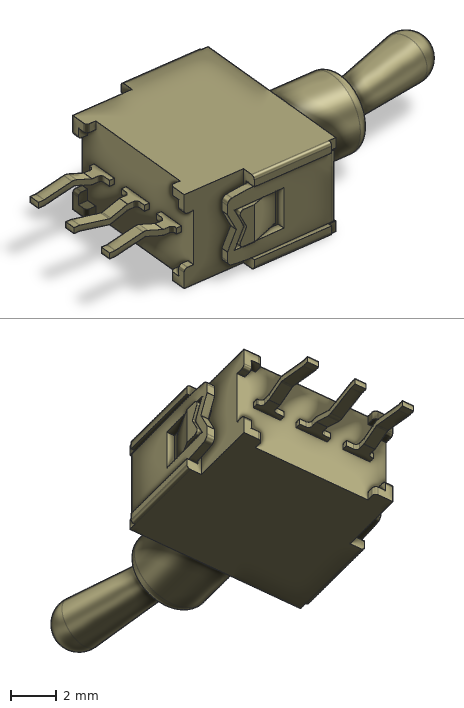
import cadquery as cq
import math


HOUSING_HEIGHT = 5.0
CORE_WIDTH = 7.95
SHOULDER_WIDTH = 9.12
RAIL_WIDTH = 9.5
SHOULDER_LENGTH = 4.72
HOUSING_LENGTH = 7.5
RAIL_START = 0.38
CHANNEL_HEIGHT = 3.87
RAIL_FILLET = (RAIL_WIDTH - SHOULDER_WIDTH) / 2

FOOT_LENGTH = 0.53
FOOT_SPAN_X = 0.97
FOOT_SPAN_Z = 1.05
FOOT_THICKNESS_X = 0.4
FOOT_THICKNESS_Z = 0.47
FOOT_FILLET = 0.2

FRAME_HEIGHT = 3.76
FRAME_WIDTH = SHOULDER_WIDTH
FRAME_END_WIDTH = 9.28
FRAME_THICKNESS = 0.4
FRAME_BEND_RADIUS = 0.21
LEG_LENGTH = 6.13
LEG_TAPER_START = 4.23
LEG_END_HEIGHT = 3.47
LEG_CORNER_FILLET = 0.3
NOTCH_HEIGHT = 1.99
NOTCH_SLOPE = 0.5
WINDOW_START = 2.95
WINDOW_HEIGHT = 2.14
WINDOW_APEX = 5.2
BUSHING_DIAMETER = 4.0
BUSHING_LENGTH = 3.98
BUSHING_TOP_FILLET = 0.6
FLARE_LENGTH = 0.5
FLARE_RADIUS = 0.57

CHANNEL_FLOOR_WIDTH = FRAME_WIDTH - 2 * FRAME_THICKNESS

LATCH_START = 3.07
LATCH_HEIGHT = 1.99
LATCH_CLEARANCE = 0.06
LATCH_TIP_FILLET = 0.21
LATCH_NOTCH_FILLET = 0.17

BALL_DIAMETER = 2.8
BALL_CENTRE_Y = 3.09
LEVER_TILT = 14.0
LEVER_BASE_RADIUS = 0.9
LEVER_TIP_RADIUS = 1.25
LEVER_REACH = 5.67

TERMINAL_PITCH = 2.54
TERMINAL_WIDTH = 0.6
TERMINAL_THICKNESS = 0.32
TERMINAL_END = 11.32
BEND_START = 8.31
BEND_APEX = 9.3
BEND_END = 11.0
BEND_RISE = 0.35
BEND_INNER_RADIUS = 0.15
BEND_OUTER_RADIUS = BEND_INNER_RADIUS + TERMINAL_THICKNESS
HEAD_LENGTH = 0.27
HEAD_FILLET = 0.2
HEAD_REACH = 0.87
HEAD_SHORT_REACH = 0.57
MIDDLE_HEAD_REACH = 0.82


def block(width, height, start, end):
    """Box centred on X and Z that runs from y = -start to y = -end."""
    return cq.Workplane("XY").box(width, end - start, height).translate((0, -(start + end) / 2, 0))


def v_notched_prism(start, apex, height):
    """Prism along X from y = -start whose -Y end is a V notch with its apex at y = -apex."""
    half = height / 2
    corner_y = -apex - NOTCH_SLOPE * half
    outline = [(-start, -half), (corner_y, -half), (-apex, 0), (corner_y, half), (-start, half)]
    return cq.Workplane("YZ").polyline(outline).close().extrude(RAIL_WIDTH, both=True)


def corner_foot():
    """L-shaped foot at the -X, -Z corner of the end face."""
    left = -CORE_WIDTH / 2
    bottom = -HOUSING_HEIGHT / 2
    end = -HOUSING_LENGTH - FOOT_LENGTH
    along_x = cq.Workplane("XY").box(FOOT_SPAN_X, FOOT_LENGTH, FOOT_THICKNESS_Z, centered=False)
    along_x = along_x.edges(">X and <Y").fillet(FOOT_FILLET)
    along_z = cq.Workplane("XY").box(FOOT_THICKNESS_X, FOOT_LENGTH, FOOT_SPAN_Z, centered=False)
    along_z = along_z.edges(">Z and <Y").fillet(FOOT_FILLET)
    return along_x.union(along_z).translate((left, end, bottom))


def latch():
    """Wedge on the -X side: it rises toward -Y and ends in a V notch."""
    base_x = -CORE_WIDTH / 2
    floor_x = -CHANNEL_FLOOR_WIDTH / 2
    crest_x = -RAIL_WIDTH / 2
    apex_y = -WINDOW_APEX + LATCH_CLEARANCE
    half = LATCH_HEIGHT / 2
    corner_y = apex_y - NOTCH_SLOPE * half
    ramp = (
        cq.Workplane("XY")
        .moveTo(base_x, -LATCH_START)
        .lineTo(floor_x, -LATCH_START)
        .lineTo(crest_x, -SHOULDER_LENGTH)
        .lineTo(crest_x, corner_y)
        .lineTo(base_x, corner_y)
        .close()
        .extrude(half, both=True)
    )
    notched = v_notched_prism(LATCH_START, -apex_y, LATCH_HEIGHT)
    notched = notched.edges("|X and <Y").fillet(LATCH_TIP_FILLET)
    notch_line = cq.selectors.NearestToPointSelector((0, apex_y, 0))
    notched = notched.edges(notch_line).fillet(LATCH_NOTCH_FILLET)
    return ramp.intersect(notched)


def make_housing():
    core = block(CORE_WIDTH, HOUSING_HEIGHT, 0, HOUSING_LENGTH)
    shoulders = block(SHOULDER_WIDTH, HOUSING_HEIGHT, 0, SHOULDER_LENGTH)
    rails = block(RAIL_WIDTH, HOUSING_HEIGHT, RAIL_START, SHOULDER_LENGTH)
    rails = rails.edges("|Y").fillet(RAIL_FILLET)
    body = core.union(shoulders).union(rails)

    channel = block(RAIL_WIDTH, CHANNEL_HEIGHT, 0, SHOULDER_LENGTH)
    channel = channel.cut(block(CHANNEL_FLOOR_WIDTH, CHANNEL_HEIGHT, FRAME_THICKNESS, SHOULDER_LENGTH))
    body = body.cut(channel)

    left_latch = latch()
    body = body.union(left_latch).union(left_latch.mirror("YZ"))

    lower_left = corner_foot()
    for lower in (lower_left, lower_left.mirror("YZ")):
        body = body.union(lower).union(lower.mirror("XY"))
    return body


def leg_outline():
    """Prism with the side outline of both legs: tapered, rounded, with a V notch in the end."""
    half = FRAME_HEIGHT / 2
    half_end = LEG_END_HEIGHT / 2
    half_notch = NOTCH_HEIGHT / 2
    notch_apex = -LEG_LENGTH + NOTCH_SLOPE * half_notch
    corner_line = cq.selectors.NearestToPointSelector((0, -LEG_LENGTH, half_end))
    upper = (
        cq.Workplane("YZ")
        .moveTo(0, 0)
        .lineTo(0, half)
        .lineTo(-LEG_TAPER_START, half)
        .tangentArcPoint((-LEG_LENGTH, half_end), relative=False)
        .lineTo(-LEG_LENGTH, half_notch)
        .lineTo(notch_apex, 0)
        .close()
        .extrude(FRAME_WIDTH, both=True)
        .edges(corner_line)
        .fillet(LEG_CORNER_FILLET)
    )
    return upper.union(upper.mirror("XY"))


def frame_strip():
    """Plate with two legs that splay slightly outward."""
    outer = FRAME_WIDTH / 2
    outer_end = FRAME_END_WIDTH / 2
    inner = outer - FRAME_THICKNESS
    inner_end = outer_end - FRAME_THICKNESS
    outline = [
        (-outer, 0),
        (outer, 0),
        (outer_end, -LEG_LENGTH),
        (inner_end, -LEG_LENGTH),
        (inner, -FRAME_THICKNESS),
        (-inner, -FRAME_THICKNESS),
        (-inner_end, -LEG_LENGTH),
        (-outer_end, -LEG_LENGTH),
    ]
    strip = cq.Workplane("XY").polyline(outline).close().extrude(FRAME_HEIGHT / 2, both=True)
    return strip.edges("|Z and >Y").fillet(FRAME_BEND_RADIUS)


def bushing():
    """Bushing with a rounded rim and a flared foot."""
    radius = BUSHING_DIAMETER / 2
    flare = FLARE_RADIUS - math.sqrt(FLARE_RADIUS**2 - FLARE_LENGTH**2)
    half_angle = math.asin(FLARE_LENGTH / FLARE_RADIUS) / 2
    flare_mid = (
        radius + FLARE_RADIUS * (1 - math.cos(half_angle)),
        FLARE_LENGTH - FLARE_RADIUS * math.sin(half_angle),
    )
    return (
        cq.Workplane("XY")
        .lineTo(radius + flare, 0)
        .threePointArc(flare_mid, (radius, FLARE_LENGTH))
        .lineTo(radius, BUSHING_LENGTH)
        .lineTo(0, BUSHING_LENGTH)
        .close()
        .revolve(360, (0, 0), (0, 1))
        .edges(">Y")
        .fillet(BUSHING_TOP_FILLET)
    )


def make_frame(lever):
    strip = frame_strip().intersect(leg_outline())
    strip = strip.cut(v_notched_prism(WINDOW_START, WINDOW_APEX, WINDOW_HEIGHT))
    return strip.union(bushing()).cut(lever)


def make_lever():
    """Ball in the bushing, with a tilted cone that runs tangent into a round tip."""
    ball_radius = BALL_DIAMETER / 2
    base = math.sqrt(ball_radius**2 - LEVER_BASE_RADIUS**2)
    base_to_tip = LEVER_REACH - base
    base_to_centre = math.hypot(LEVER_BASE_RADIUS, base_to_tip)
    taper = math.asin(LEVER_TIP_RADIUS / base_to_centre) - math.atan2(LEVER_BASE_RADIUS, base_to_tip)
    tangent_x = LEVER_TIP_RADIUS * math.cos(taper)
    tangent_y = LEVER_REACH - LEVER_TIP_RADIUS * math.sin(taper)
    tip_bulge = LEVER_TIP_RADIUS / math.sqrt(2)
    return (
        cq.Workplane("XY")
        .moveTo(0, -ball_radius)
        .threePointArc((ball_radius, 0), (LEVER_BASE_RADIUS, base))
        .lineTo(tangent_x, tangent_y)
        .threePointArc((tip_bulge, LEVER_REACH + tip_bulge), (0, LEVER_REACH + LEVER_TIP_RADIUS))
        .close()
        .revolve(360, (0, 0), (0, 1))
        .rotate((0, 0, 0), (0, 0, 1), LEVER_TILT)
        .translate((0, BALL_CENTRE_Y, 0))
    )


def bent_strip():
    """Side profile of a terminal, bent toward +Z, wide enough for any head."""
    half = TERMINAL_THICKNESS / 2
    path = [(HOUSING_LENGTH, 0), (BEND_START, 0), (BEND_APEX, BEND_RISE), (BEND_END, 0), (TERMINAL_END, 0)]
    upper = [(-distance, z + half) for distance, z in path]
    lower = [(-distance, z - half) for distance, z in path]
    strip = cq.Workplane("YZ").polyline(upper + lower[::-1]).close().extrude(HEAD_REACH, both=True)
    outer_bend = cq.selectors.NearestToPointSelector((0, -BEND_APEX, BEND_RISE + half))
    inner_bend = cq.selectors.NearestToPointSelector((0, -BEND_APEX, BEND_RISE - half))
    strip = strip.edges(outer_bend).fillet(BEND_OUTER_RADIUS)
    return strip.edges(inner_bend).fillet(BEND_INNER_RADIUS)


def make_terminal(left_reach, right_reach):
    """Terminal on x = 0 whose head reaches the given distances to each side."""
    half = TERMINAL_WIDTH / 2
    head_end = -HOUSING_LENGTH - HEAD_LENGTH
    thickness = 2 * (TERMINAL_THICKNESS + BEND_RISE)
    outline = (
        cq.Workplane("XY")
        .moveTo(-left_reach, -HOUSING_LENGTH)
        .lineTo(-left_reach, head_end)
        .lineTo(-half - HEAD_FILLET, head_end)
        .radiusArc((-half, head_end - HEAD_FILLET), HEAD_FILLET)
        .lineTo(-half, -TERMINAL_END)
        .lineTo(half, -TERMINAL_END)
        .lineTo(half, head_end - HEAD_FILLET)
        .radiusArc((half + HEAD_FILLET, head_end), HEAD_FILLET)
        .lineTo(right_reach, head_end)
        .lineTo(right_reach, -HOUSING_LENGTH)
        .close()
        .extrude(thickness, both=True)
    )
    return bent_strip().intersect(outline)


def make_terminals():
    """Two outer terminals bent toward +Z and a middle one bent toward -Z."""
    left = make_terminal(HEAD_SHORT_REACH, HEAD_REACH).translate((-TERMINAL_PITCH, 0, 0))
    middle = make_terminal(MIDDLE_HEAD_REACH, MIDDLE_HEAD_REACH).mirror("XY")
    return [left, middle, left.mirror("YZ")]


lever = make_lever()
frame = make_frame(lever)
housing = make_housing()
terminals = make_terminals()

result = cq.Compound.makeCompound(
    [housing.val(), frame.val(), lever.val(), *[terminal.val() for terminal in terminals]]
)